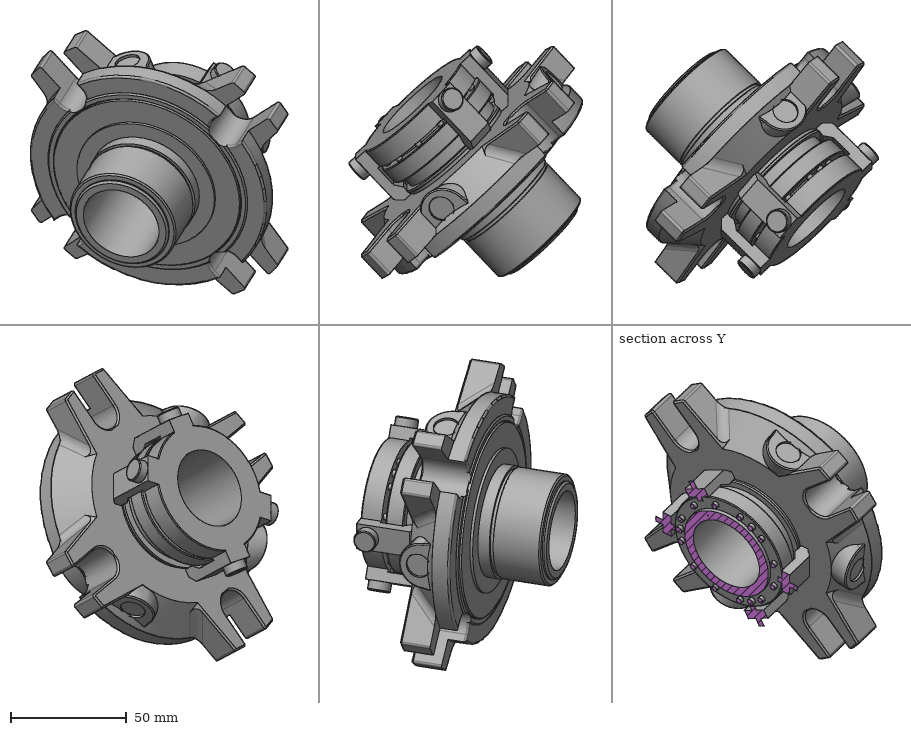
import cadquery as cq
import math


bore_diameter = 34.9
nose_diameter = 43.2
nose_chamfer = 0.9
sleeve_diameter = 48.9
sleeve_chamfer = 0.7
groove_diameter = 47.2
collar_diameter = 49.6
nose_end_y = 1.6
groove_start_y = 23.1
groove_end_y = 24.7

pilot_diameter = 63.5
pilot_front_y = 29.9
register_diameter = 85.7
register_front_y = 31.2
raised_face_diameter = 92.2
raised_face_front_y = 31.9
raised_face_chamfer = 0.7
register_groove_diameter = 86.8
register_groove_depth = 0.7

flange_diameter = 109.2
flange_front_y = 32.7
flange_back_y = 40.7
flange_fillet = 0.9
hub_front_radius = 54.4
hub_back_radius = register_diameter / 2
gland_back_y = 54.5

back_lip_diameter = 53.9
back_lip_y = 56.1
clip_ring_diameter = 55.4
clip_ring_y = 57.2
seat_ring_diameter = 57.6
seat_ring_front_y = 62.8
seat_ring_back_y = 70.9
core_diameter = 44.8
drive_collar_front_y = 72.8
overall_length = 82.3
ring_chamfer = 0.5

slot_count = 4
slot_first_angle = 45
slot_half_width = 7.4
slot_bottom_radius = 43.2
arm_inner_tip = 67.1
arm_outer_tip = 66
arm_outer_half_width = 14.73
arm_flank_angle = 8
arm_root = 34.1
arm_tip_fillet = 1.0
arm_root_fillet = 5.0
port_clearance_angle = 15
arm_back_chamfer = 0.8

port_angles = (107, 180, 287)
port_face_radius = 52.0
port_y = 47.8
port_hole_diameter = 11.0
port_hole_depth = 1.1
boss_top_y = 56.7
boss_top_slope = 13
boss_arc_radius = 10.8
boss_foot_y = 38.7
boss_foot_flare = 1.4
boss_depth = 9.1
boss_side_flare = 3.4
boss_chamfer = 0.6

clip_angles = (0, 60, 180, 240)
clip_width = 12.1
clip_outer_radius = 33.8
clip_inner_radius = 29.4
clip_seat_radius = 27.3
clip_hook_radius = 26.8
clip_front_y = 54.7
clip_front_chamfer = 3.3
clip_hook_y = 59.2
screw_diameter = 10.0
screw_head_radius = 38.0
screw_chamfer = 0.5
screw_y = overall_length - screw_diameter / 2

spring_count = 12
spring_first_angle = 15
spring_diameter = 2.8
drive_pin_angles = (0, 120, 240)
drive_pin_diameter = 3.2
spring_circle_radius = 25.4


def turn(shape, angle):
    """Turn a shape built at +X by an angle measured from +X towards +Z."""
    return shape.rotate((0, 0, 0), (0, 1, 0), -angle)


def disc(diameter, start_y, end_y):
    plane = cq.Workplane("XZ", origin=(0, start_y, 0))
    return plane.circle(diameter / 2).extrude(start_y - end_y)


def pin(diameter, angle):
    """Axial pin bridging the gap between the two rear rings."""
    plane = cq.Workplane("XZ", origin=(0, seat_ring_back_y, 0)).center(spring_circle_radius, 0)
    return turn(plane.circle(diameter / 2).extrude(seat_ring_back_y - drive_collar_front_y), angle)


def make_sleeve_and_rings():
    nose = disc(nose_diameter, 0, nose_end_y).faces("<Y").chamfer(nose_chamfer)
    sleeve = disc(sleeve_diameter, nose_end_y, groove_start_y).faces("<Y").chamfer(sleeve_chamfer)
    seat_ring = disc(seat_ring_diameter, seat_ring_front_y, seat_ring_back_y).faces("<Y or >Y")
    drive_collar = disc(seat_ring_diameter, drive_collar_front_y, overall_length).faces(">Y")
    raised_face = disc(raised_face_diameter, raised_face_front_y, flange_back_y).faces("<Y")
    body = nose.union(sleeve)
    raised_face = raised_face.chamfer(raised_face_chamfer)
    groove_floor_y = raised_face_front_y + register_groove_depth
    raised_face = raised_face.cut(disc(register_groove_diameter, raised_face_front_y, groove_floor_y))
    for ring in (
        disc(groove_diameter, groove_start_y, groove_end_y),
        disc(collar_diameter, groove_end_y, seat_ring_front_y),
        disc(pilot_diameter, pilot_front_y, gland_back_y),
        disc(register_diameter, register_front_y, flange_back_y),
        raised_face,
        disc(back_lip_diameter, gland_back_y, back_lip_y),
        disc(clip_ring_diameter, back_lip_y, clip_ring_y),
        seat_ring.chamfer(ring_chamfer),
        disc(core_diameter, seat_ring_back_y, drive_collar_front_y),
        drive_collar.chamfer(ring_chamfer),
    ):
        body = body.union(ring)
    return body


def make_slot():
    end_center = slot_bottom_radius + slot_half_width
    length = flange_diameter
    slot = cq.Workplane("XZ").center(end_center + length / 2, 0)
    slot = slot.slot2D(length + 2 * slot_half_width, 2 * slot_half_width)
    return slot.extrude(-overall_length)


def make_arm_pair():
    """Two arms side by side with a bolt slot between them."""
    root_half_width = arm_outer_half_width + (arm_outer_tip - arm_root) * math.tan(math.radians(arm_flank_angle))
    half = [
        (arm_root, root_half_width),
        (arm_outer_tip, arm_outer_half_width),
        (arm_inner_tip, slot_half_width),
    ]
    mirrored = [(x, -z) for x, z in reversed(half)]
    plane = cq.Workplane("XZ", origin=(0, flange_back_y, 0))
    block = plane.polyline(half + mirrored).close().extrude(flange_back_y - gland_back_y)
    arms = block.cut(make_slot())
    arms = arms.edges().filter(is_arm_tip_corner).fillet(arm_tip_fillet)
    return arms.faces(">Y").edges("not <X").chamfer(arm_back_chamfer)


def is_arm_root(edge):
    """Flank edges along the hub, except those that run into a port boss."""
    middle = edge.positionAt(0.5)
    angle = math.degrees(math.atan2(middle.z, middle.x)) % 360
    on_hub = math.hypot(middle.x, middle.z) < hub_front_radius
    off_seam = abs(middle.z) > 1.1
    near_port = any(abs(angle - port_angle) < port_clearance_angle for port_angle in port_angles)
    between_ends = flange_back_y + 1.1 < middle.y < gland_back_y - 1.1
    return on_hub and off_seam and between_ends and not near_port


def is_arm_tip_corner(edge):
    middle = edge.positionAt(0.5)
    beyond_flange = math.hypot(middle.x, middle.z) > flange_diameter / 2 + 5.7
    return beyond_flange and edge.BoundingBox().ylen > 1.1


def make_lugs():
    slot_angles = [slot_first_angle + i * 360 / slot_count for i in range(slot_count)]
    profile = [
        (0, flange_back_y),
        (hub_front_radius, flange_back_y),
        (hub_back_radius, gland_back_y),
        (0, gland_back_y),
    ]
    lugs = cq.Workplane("XY").polyline(profile).close().revolve(360, (0, 0, 0), (0, 1, 0))
    for angle in slot_angles:
        lugs = lugs.union(turn(make_arm_pair(), angle))
    roots = lugs.edges().filter(is_arm_root)
    lugs = roots.fillet(arm_root_fillet)
    flange = disc(flange_diameter, flange_front_y, flange_back_y)
    for angle in slot_angles:
        slot = turn(make_slot(), angle)
        lugs = lugs.cut(slot)
        flange = flange.cut(slot)
    flange = flange.faces("<Y").edges().fillet(flange_fillet)
    return lugs.union(flange)


def boss_outline(radius, top_y, arc_radius):
    """Arch standing on the back of the flange, in a plane across the port axis."""
    center_y = top_y - arc_radius
    foot_half_width = arc_radius + boss_foot_flare
    outline = (
        cq.Workplane("YZ", origin=(radius, 0, 0))
        .moveTo(boss_foot_y, -foot_half_width)
        .lineTo(center_y, -arc_radius)
        .threePointArc((top_y, 0), (center_y, arc_radius))
        .lineTo(boss_foot_y, foot_half_width)
        .close()
    )
    return outline.val()


def make_port_boss():
    root_top_y = boss_top_y - boss_depth * math.tan(math.radians(boss_top_slope))
    rim_radius = port_face_radius - boss_chamfer
    root = boss_outline(port_face_radius - boss_depth, root_top_y, boss_arc_radius + boss_side_flare)
    rim = boss_outline(rim_radius, boss_top_y, boss_arc_radius)
    face = boss_outline(port_face_radius, boss_top_y - boss_chamfer, boss_arc_radius - boss_chamfer)
    flared_body = cq.Workplane(cq.Solid.makeLoft([root, rim], True))
    chamfered_rim = cq.Workplane(cq.Solid.makeLoft([rim, face], True))
    return flared_body.union(chamfered_rim)


def make_port_hole():
    face = cq.Workplane("YZ", origin=(port_face_radius, port_y, 0))
    return face.circle(port_hole_diameter / 2).extrude(-port_hole_depth)


def make_clip():
    profile = [
        (clip_hook_radius, clip_front_y),
        (clip_outer_radius - clip_front_chamfer, clip_front_y),
        (clip_outer_radius, clip_front_y + clip_front_chamfer),
        (clip_outer_radius, overall_length),
        (clip_seat_radius, overall_length),
        (clip_seat_radius, drive_collar_front_y),
        (clip_inner_radius, drive_collar_front_y),
        (clip_inner_radius, seat_ring_front_y),
        (clip_hook_radius, clip_hook_y),
    ]
    clip = cq.Workplane("XY").polyline(profile).close().extrude(clip_width / 2, both=True)
    screw = (
        cq.Workplane("YZ", origin=(clip_seat_radius, screw_y, 0))
        .circle(screw_diameter / 2)
        .extrude(screw_head_radius - clip_seat_radius)
        .faces(">X")
        .chamfer(screw_chamfer)
    )
    return clip.union(screw)


result = make_sleeve_and_rings().union(make_lugs())
for port_angle in port_angles:
    result = result.union(turn(make_port_boss(), port_angle))
    result = result.cut(turn(make_port_hole(), port_angle))
for i in range(slot_count):
    result = result.cut(turn(make_slot(), slot_first_angle + i * 360 / slot_count))
for clip_angle in clip_angles:
    result = result.union(turn(make_clip(), clip_angle))
for i in range(spring_count):
    result = result.union(pin(spring_diameter, spring_first_angle + i * 360 / spring_count))
for pin_angle in drive_pin_angles:
    result = result.union(pin(drive_pin_diameter, pin_angle))
result = result.cut(disc(bore_diameter, 0, overall_length))